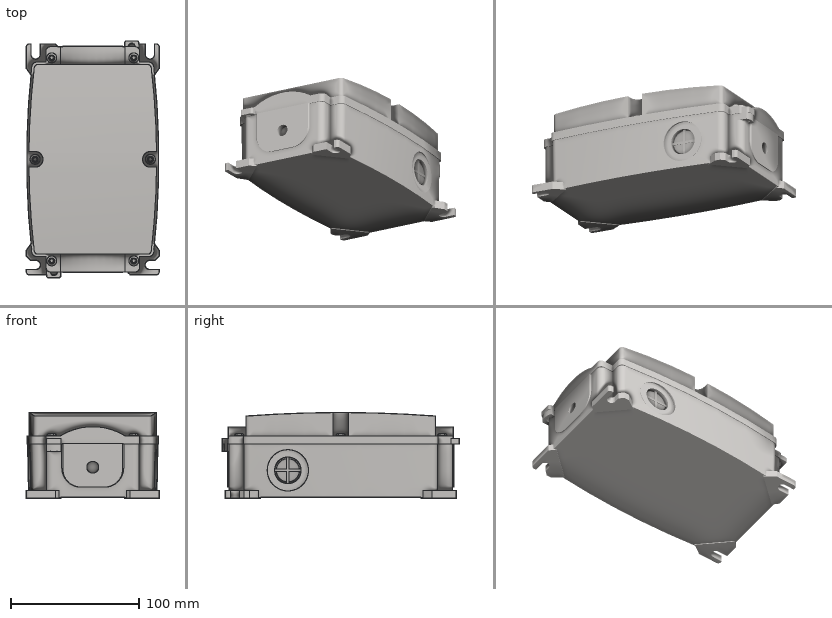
import cadquery as cq
import math

foot_height = 6.1
box_bottom = 0.7
rim_bottom = 42.2
rim_top = 48.7
lid_crown = 67.0
lid_end_height = 64.3

rim_half_width = 51.7
barrel_half_length = 76.0
barrel_end_half_width = 47.2
rim_corner_radius = 4.0
box_inset = 0.5
box_corner_radius = 5.0
side_draft = 1.2
lid_inset = 1.9
lid_corner_radius = 3.0

end_half_width = 36.7
end_half_length = 88.0
end_corner_radius = 3.7
end_corner_radius_box = 4.8

hood_half_width = 25.4
hood_height = 7.2

corner_screw_x = 32.0
corner_screw_y = 79.3
side_screw_x = 45.0
side_notch_radius = 6.1
screw_head_radius = 3.9
screw_flat_radius = 2.5
screw_head_height = 2.0
screw_edge_height = 0.5
socket_radius = 1.3
socket_lobe_radius = 0.5
socket_lobes = 6
socket_depth = 1.5

plate_bottom = 8.7
plate_top = 42.8
plate_face_half_width = 23.2
plate_face_radius = 13.5
plate_root_half_width = 24.3
plate_root_radius = 15.4
plate_projection = 0.4
entry_hole_z = 24.3
entry_hole_radius = 4.6
entry_hole_depth = 5.5

knockout_y = -41.3
knockout_z = 21.9
knockout_pad_radius = 16.1
knockout_face_x = 48.5
knockout_pad_depth = 5.5
knockout_clearance = 3.7
knockout_hole_radius = 10.4
knockout_hole_depth = 3.5
disc_base_radius = 10.2
disc_top_radius = 9.0
disc_height = 1.1
cross_rib_width = 2.0
cross_rib_height = 1.5

lug_inner_x = 24.8
lug_outer_x = end_half_width - box_inset
lug_root_y = 82.6
lug_tip_y = 92.6
lug_corner_radius = 1.9
lug_bulge = 1.7
lug_upper_top = 46.9
lug_lower_bottom = 36.7
lug_hole_x = 30.4
lug_hole_radius = 2.6
lug_hole_y = 88.0

overall_width = 104.0
foot_half_width = overall_width / 2
foot_end_y = 90.2
foot_inner_x = 29.3
foot_side_y = 71.1
foot_under_x = 24.8
foot_under_y = 62.6
foot_flank_x = 46.0
foot_corner_radius = 2.5
slot_radius = 3.5
end_slot_x = 44.6
end_slot_centre_y = 81.9
side_slot_y = 82.5
side_slot_centre_x = 44.5
side_slot_chamfer = 3.3

OVERLAP = 1.9


def barrel_outline(plane, inset, narrowing=0):
    """Rectangle with bowed long sides; narrowing pulls in the long sides only."""
    mid = rim_half_width - inset - narrowing
    end = barrel_end_half_width - inset - narrowing
    length = barrel_half_length - inset
    return (
        plane.moveTo(-end, -length)
        .lineTo(end, -length)
        .threePointArc((mid, 0), (end, length))
        .lineTo(-end, length)
        .threePointArc((-mid, 0), (-end, -length))
        .close()
    )


def barrel(inset, corner_radius, bottom, height):
    """Upright barrel-shaped block with rounded corners."""
    outline = barrel_outline(cq.Workplane("XY", origin=(0, 0, bottom)), inset)
    return outline.extrude(height).edges("|Z").fillet(corner_radius)


def end_blocks(inset, corner_radius, bottom, height):
    """Narrower full-length block that projects from both ends of the barrel."""
    return (
        cq.Workplane("XY", origin=(0, 0, bottom))
        .rect(2 * (end_half_width - inset), 2 * (end_half_length - inset))
        .extrude(height)
        .edges("|Z")
        .fillet(corner_radius)
    )


def make_box():
    """Solid box whose long walls lean inwards towards the bottom."""
    height = rim_bottom - box_bottom
    narrowing = height * math.tan(math.radians(side_draft))
    base = barrel_outline(cq.Workplane("XY", origin=(0, 0, box_bottom)), box_inset, narrowing)
    walls = barrel_outline(base.workplane(offset=height), box_inset).loft(ruled=True)
    walls = walls.faces("<Y or >Y").edges("not |X").fillet(box_corner_radius)
    return walls.union(end_blocks(box_inset, end_corner_radius_box, box_bottom, height))


def make_lid():
    rim_height = rim_top - rim_bottom
    rim = barrel(0, rim_corner_radius, rim_bottom, rim_height)
    rim = rim.union(end_blocks(0, end_corner_radius, rim_bottom, rim_height))

    hood = (
        cq.Workplane("XZ", origin=(0, end_half_length, 0))
        .moveTo(-hood_half_width, rim_top - OVERLAP)
        .lineTo(-hood_half_width, rim_top)
        .threePointArc((0, rim_top + hood_height), (hood_half_width, rim_top))
        .lineTo(hood_half_width, rim_top - OVERLAP)
        .close()
        .extrude(2 * end_half_length)
    )

    cover = barrel(lid_inset, lid_corner_radius, rim_top - OVERLAP,
                   lid_crown - rim_top + OVERLAP)
    cover_end = barrel_half_length - lid_inset
    crown = (
        cq.Workplane("YZ", origin=(-rim_half_width, 0, 0))
        .moveTo(-cover_end, 0)
        .lineTo(-cover_end, lid_end_height)
        .threePointArc((0, lid_crown), (cover_end, lid_end_height))
        .lineTo(cover_end, 0)
        .close()
        .extrude(2 * rim_half_width)
    )
    cover = cover.intersect(crown)

    lid = rim.union(hood).union(cover)
    for side in (-1, 1):
        lid = lid.cut(side_notch(side))
    return lid


def side_notch(side):
    """U-shaped clearance in the lid around a side screw, open outwards."""
    height = lid_crown - rim_top
    round_end = (
        cq.Workplane("XY", origin=(side * side_screw_x, 0, rim_top))
        .circle(side_notch_radius)
        .extrude(height)
    )
    mouth_length = rim_half_width - side_screw_x
    mouth = (
        cq.Workplane("XY", origin=(side * (side_screw_x + mouth_length / 2), 0, rim_top))
        .rect(mouth_length, 2 * side_notch_radius)
        .extrude(height)
    )
    return round_end.union(mouth)


def make_screw(x, y):
    """Domed screw head with a six-lobed socket."""
    head = (
        cq.Workplane("XZ")
        .moveTo(0, -OVERLAP)
        .lineTo(screw_head_radius, -OVERLAP)
        .lineTo(screw_head_radius, screw_edge_height)
        .lineTo(screw_flat_radius, screw_head_height)
        .lineTo(0, screw_head_height)
        .close()
        .revolve(360, (0, 0, 0), (0, 1, 0))
    )
    socket_floor = cq.Workplane("XY", origin=(0, 0, screw_head_height - socket_depth))
    socket = socket_floor.circle(socket_radius).extrude(socket_depth)
    lobes = (
        socket_floor.polarArray(socket_radius, 0, 360, socket_lobes)
        .circle(socket_lobe_radius)
        .extrude(socket_depth)
    )
    return head.cut(socket.union(lobes)).translate((x, y, rim_top))


def make_entry_plate():
    """Raised plate on the -Y end, rounded at its lower corners, with sloping sides."""
    box_end = end_half_length - box_inset
    root = cq.Workplane("XZ", origin=(0, -box_end, 0))
    root = plate_outline(root, plate_root_half_width, plate_root_radius)
    face = root.workplane(offset=box_inset + plate_projection)
    return plate_outline(face, plate_face_half_width, plate_face_radius).loft(ruled=True)


def plate_outline(plane, half_width, radius):
    """U-shaped outline: flat top, straight sides and two rounded lower corners."""
    straight = half_width - radius
    diagonal = radius * math.sqrt(0.5)
    arc_centre_z = plate_bottom + radius
    return (
        plane.moveTo(-half_width, plate_top)
        .lineTo(-half_width, arc_centre_z)
        .threePointArc((-straight - diagonal, arc_centre_z - diagonal), (-straight, plate_bottom))
        .lineTo(straight, plate_bottom)
        .threePointArc((straight + diagonal, arc_centre_z - diagonal), (half_width, arc_centre_z))
        .lineTo(half_width, plate_top)
        .close()
    )


def make_entry_hole():
    return (
        cq.Workplane("XZ", origin=(0, -end_half_length - plate_projection, entry_hole_z))
        .circle(entry_hole_radius)
        .extrude(-entry_hole_depth)
    )


def add_knockout(body):
    """Flat round seat in the -X wall with a recessed disc and cross ribs."""
    def face(depth):
        return cq.Workplane("YZ", origin=(-knockout_face_x + depth, knockout_y, knockout_z))

    clearance = face(0).circle(knockout_pad_radius).extrude(-knockout_clearance)
    pad = face(0).circle(knockout_pad_radius).extrude(knockout_pad_depth)
    hole = face(0).circle(knockout_hole_radius).extrude(knockout_hole_depth)
    disc = (
        face(knockout_hole_depth)
        .circle(disc_base_radius)
        .workplane(offset=-disc_height)
        .circle(disc_top_radius)
        .loft()
    )
    ribs = (
        face(knockout_hole_depth)
        .rect(2 * knockout_hole_radius, cross_rib_width)
        .extrude(-cross_rib_height)
        .union(
            face(knockout_hole_depth)
            .rect(cross_rib_width, 2 * knockout_hole_radius)
            .extrude(-cross_rib_height)
        )
    )
    ribs = ribs.intersect(hole)
    return body.cut(clearance).union(pad).cut(hole).union(disc).union(ribs)


def make_lid_lug():
    """Lug on the lid rim at +X, +Y."""
    lug = (
        cq.Workplane("XY", origin=(0, 0, rim_bottom))
        .moveTo(lug_inner_x, lug_root_y)
        .lineTo(lug_outer_x, lug_root_y)
        .lineTo(lug_outer_x, lug_tip_y)
        .lineTo(lug_inner_x, lug_tip_y)
        .close()
        .extrude(lug_upper_top - rim_bottom)
        .edges("|Z and >Y")
        .fillet(lug_corner_radius)
    )
    return lug.cut(lug_hole())


def make_box_lug():
    """Matching lug on the box, just below the lid rim."""
    shoulder_y = lug_tip_y - lug_bulge
    lug = (
        cq.Workplane("XY", origin=(0, 0, lug_lower_bottom))
        .moveTo(lug_inner_x, lug_root_y)
        .lineTo(lug_outer_x, lug_root_y)
        .lineTo(lug_outer_x, shoulder_y)
        .threePointArc(((lug_inner_x + lug_outer_x) / 2, lug_tip_y), (lug_inner_x, shoulder_y))
        .close()
        .extrude(rim_bottom - lug_lower_bottom)
    )
    return lug.cut(lug_hole())


def lug_hole():
    """Sealing-wire hole next to the lid rim."""
    return (
        cq.Workplane("XY", origin=(lug_hole_x, lug_hole_y, lug_lower_bottom))
        .circle(lug_hole_radius)
        .extrude(lug_upper_top - lug_lower_bottom)
    )


def foot_blank():
    """Foot plate for the +X, +Y corner, chamfered where it runs beneath the box."""
    under_drop = foot_inner_x - foot_under_x
    return (
        cq.Workplane("XY")
        .polyline([
            (foot_half_width, foot_end_y),
            (foot_inner_x, foot_end_y),
            (foot_under_x, foot_end_y - under_drop),
            (foot_flank_x, foot_under_y),
            (foot_half_width, foot_side_y),
        ])
        .close()
        .extrude(foot_height)
        .edges("|Z and >X and >Y")
        .fillet(foot_corner_radius)
    )


def slot_cutter(x, y, length_x, length_y):
    """Round-ended slot starting at (x, y) and running outwards along X or Y."""
    start = cq.Workplane("XY").center(x, y).circle(slot_radius).extrude(foot_height)
    run = (
        cq.Workplane("XY")
        .center(x + length_x / 2, y + length_y / 2)
        .rect(max(length_x, 2 * slot_radius), max(length_y, 2 * slot_radius))
        .extrude(foot_height)
    )
    return start.union(run)


def make_rear_foot():
    """Foot with its slot open towards +Y."""
    slot = slot_cutter(end_slot_x, end_slot_centre_y, 0, foot_end_y - end_slot_centre_y)
    return foot_blank().cut(slot)


def make_front_foot():
    """Foot with its slot open sideways; the inner corner of the mouth is chamfered."""
    slot = slot_cutter(side_slot_centre_x, side_slot_y, foot_half_width - side_slot_centre_x, 0)
    mouth_corner = cq.selectors.NearestToPointSelector(
        (foot_half_width, side_slot_y - slot_radius, foot_height / 2))
    return foot_blank().cut(slot).edges(mouth_corner).chamfer(side_slot_chamfer)


body = make_box()

body = add_knockout(body)
body = add_knockout(body.mirror("YZ")).mirror("YZ")

body = body.union(make_lid())

plate = make_entry_plate()
body = body.union(plate).union(plate.mirror("XZ"))
entry_hole = make_entry_hole()
body = body.cut(entry_hole).cut(entry_hole.mirror("XZ"))

lid_lug = make_lid_lug()
front_lugs = lid_lug.union(make_box_lug()).rotate((0, 0, 0), (0, 0, 1), 180)
body = body.union(lid_lug).union(front_lugs)

rear_foot = make_rear_foot()
front_foot = make_front_foot().mirror("XZ")
for foot in (rear_foot, front_foot):
    body = body.union(foot).union(foot.mirror("YZ"))

for x_side in (-1, 1):
    body = body.union(make_screw(x_side * side_screw_x, 0))
    for y_side in (-1, 1):
        body = body.union(make_screw(x_side * corner_screw_x, y_side * corner_screw_y))

result = body